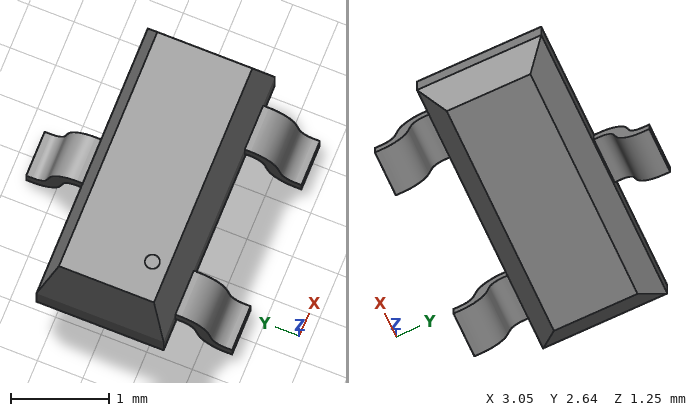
import cadquery as cq
import math

housing_length = 3.05
housing_width = 1.397
housing_height = 1.25
band_bottom = 0.357
band_top = 0.64
top_inset = 0.177
bottom_inset = 0.23

lead_span = 2.64
lead_width = 0.505
lead_thickness = 0.152
lead_top = 0.622
lead_offset = 0.95
shoulder_length = 0.065
inner_bend_radius = 0.16
bend_angle = math.radians(75)

marker_diameter = 0.152
marker_depth = 0.03
marker_x = -lead_offset
marker_y = -0.345


def tapered_block(z_start, z_end, inset):
    """Rectangular frustum with the full housing outline at z_start, inset at z_end."""
    return (
        cq.Workplane("XY", origin=(0, 0, z_start))
        .rect(housing_length, housing_width)
        .workplane(offset=z_end - z_start)
        .rect(housing_length - 2 * inset, housing_width - 2 * inset)
        .loft(ruled=True)
    )


def make_marker():
    return (
        cq.Workplane("XY", origin=(marker_x, marker_y, housing_height - marker_depth))
        .circle(marker_diameter / 2)
        .extrude(marker_depth)
    )


def make_housing():
    band = (
        cq.Workplane("XY", origin=(0, 0, band_bottom))
        .rect(housing_length, housing_width)
        .extrude(band_top - band_bottom)
    )
    upper = tapered_block(band_top, housing_height, top_inset)
    lower = tapered_block(band_bottom, 0, bottom_inset)
    return band.union(upper).union(lower).cut(make_marker())


def make_lead(x_center):
    """Lead on the +Y side, butted against the housing wall and standing on Z = 0."""
    outer_bend_radius = inner_bend_radius + lead_thickness
    wall = housing_width / 2
    tip = lead_span / 2

    radius_sum = inner_bend_radius + outer_bend_radius
    upper_y = wall + shoulder_length
    upper_z = lead_top - outer_bend_radius
    lower_z = outer_bend_radius
    bends_drop = radius_sum * (1 - math.cos(bend_angle))
    run_drop = lead_top - lead_thickness - bends_drop
    lower_y = upper_y + radius_sum * math.sin(bend_angle) + run_drop / math.tan(bend_angle)

    def upper_point(radius, angle):
        return (upper_y + radius * math.sin(angle), upper_z + radius * math.cos(angle))

    def lower_point(radius, angle):
        return (lower_y - radius * math.sin(angle), lower_z - radius * math.cos(angle))

    half_angle = bend_angle / 2
    return (
        cq.Workplane("YZ", origin=(x_center - lead_width / 2, 0, 0))
        .moveTo(wall, lead_top)
        .lineTo(upper_y, lead_top)
        .threePointArc(upper_point(outer_bend_radius, half_angle), upper_point(outer_bend_radius, bend_angle))
        .lineTo(*lower_point(inner_bend_radius, bend_angle))
        .threePointArc(lower_point(inner_bend_radius, half_angle), lower_point(inner_bend_radius, 0))
        .lineTo(tip, lead_thickness)
        .lineTo(tip, 0)
        .lineTo(lower_y, 0)
        .threePointArc(lower_point(outer_bend_radius, half_angle), lower_point(outer_bend_radius, bend_angle))
        .lineTo(*upper_point(inner_bend_radius, bend_angle))
        .threePointArc(upper_point(inner_bend_radius, half_angle), upper_point(inner_bend_radius, 0))
        .lineTo(wall, lead_top - lead_thickness)
        .close()
        .extrude(lead_width)
    )


housing = make_housing()
marker = make_marker()

leads = [make_lead(0)]
for lead_x in (-lead_offset, lead_offset):
    leads.append(make_lead(lead_x).mirror("XZ"))

result = cq.Compound.makeCompound(
    [housing.val(), marker.val(), *[lead.val() for lead in leads]]
)